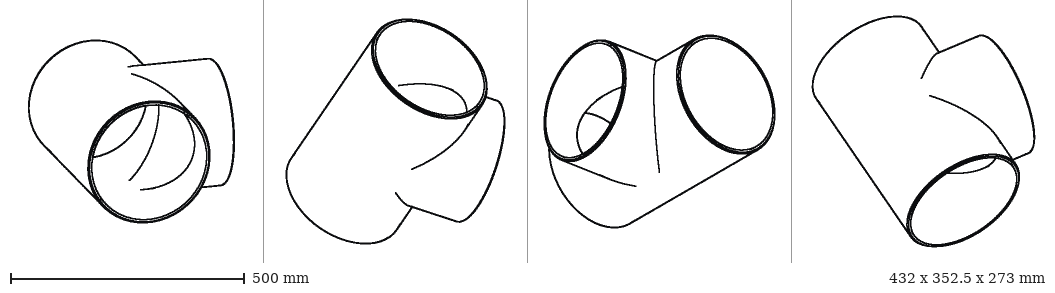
import cadquery as cq

run_length = 432.0
outer_diameter = 273.0
wall = 7.8
branch_reach = run_length / 2

bevel = 2.5

outer_radius = outer_diameter / 2
inner_radius = outer_radius - wall


def beveled_arm(direction, length):
    """Solid arm from the origin along direction, beveled at its open end."""
    end_radius = outer_radius - bevel
    profile = (
        cq.Workplane("XZ")
        .polyline([
            (0, 0),
            (outer_radius, 0),
            (outer_radius, length - bevel),
            (end_radius, length),
            (0, length),
        ])
        .close()
    )
    arm = profile.revolve(360, (0, 0, 0), (0, 1, 0)).val()
    return cq.Workplane(arm.moved(cq.Plane((0, 0, 0), (0, 0, 1), direction).location))


def bore(direction, start, length):
    """Cylinder that clears the inside of a pipe, beginning at start."""
    plane = cq.Plane(start, (0, 0, 1), direction)
    return cq.Workplane(plane).circle(inner_radius).extrude(length)


run = beveled_arm((1, 0, 0), run_length / 2).union(beveled_arm((-1, 0, 0), run_length / 2))
body = run.union(beveled_arm((0, 1, 0), branch_reach))

run_bore = bore((1, 0, 0), (-run_length / 2, 0, 0), run_length)
branch_bore = bore((0, 1, 0), (0, 0, 0), branch_reach)

result = body.cut(run_bore).cut(branch_bore)